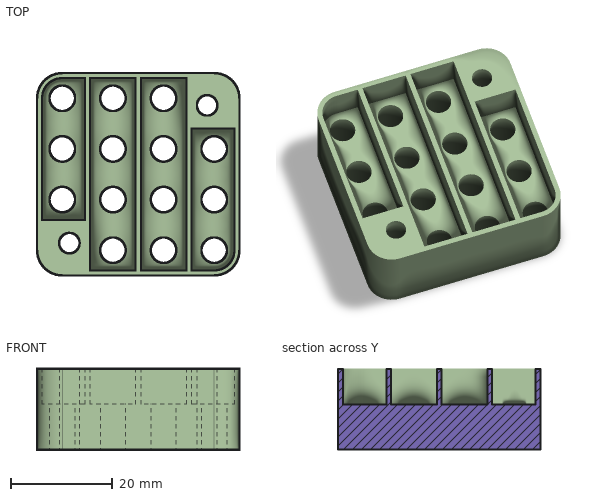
import cadquery as cq

side = 40.0
height = 16.0
corner_radius = 5.0

wall = 1.0
floor_thickness = 9.0
pitch = side / 4
inner_half = side / 2 - wall
short_pocket_end = 9.0

grid_hole_diameter = 5.0
screw_hole_diameter = 4.0
screw_offset = 13.6


def pocket(x_min, x_max, y_min, y_max):
    """Rectangular cutter reaching from the pocket floor to the top face."""
    return (
        cq.Workplane("XY")
        .workplane(offset=floor_thickness)
        .center((x_min + x_max) / 2, (y_min + y_max) / 2)
        .rect(x_max - x_min, y_max - y_min)
        .extrude(height - floor_thickness)
    )


def outer_pocket():
    """Left pocket: shortened at the front, rounded along the block corner."""
    cutter = pocket(-inner_half, -pitch - wall / 2, -short_pocket_end, inner_half)
    return cutter.edges("|Z and (<X) and (>Y)").fillet(corner_radius - wall)


def inner_pocket():
    """Full-length pocket just left of the centre wall."""
    return pocket(-pitch + wall / 2, -wall / 2, -inner_half, inner_half)


def through_holes(points, diameter):
    return cq.Workplane("XY").pushPoints(points).circle(diameter / 2).extrude(height)


result = (
    cq.Workplane("XY")
    .rect(side, side)
    .extrude(height)
    .edges("|Z")
    .fillet(corner_radius)
)

for cutter in (outer_pocket(), inner_pocket()):
    result = result.cut(cutter)
    result = result.cut(cutter.rotate((0, 0, 0), (0, 0, 1), 180))

columns = [(i - 1.5) * pitch for i in range(4)]
grid_points = [
    (x, y)
    for x in columns
    for y in columns
    if (x, y) not in ((columns[0], columns[0]), (columns[-1], columns[-1]))
]
screw_points = [(screw_offset, screw_offset), (-screw_offset, -screw_offset)]
result = result.cut(through_holes(grid_points, grid_hole_diameter))
result = result.cut(through_holes(screw_points, screw_hole_diameter))